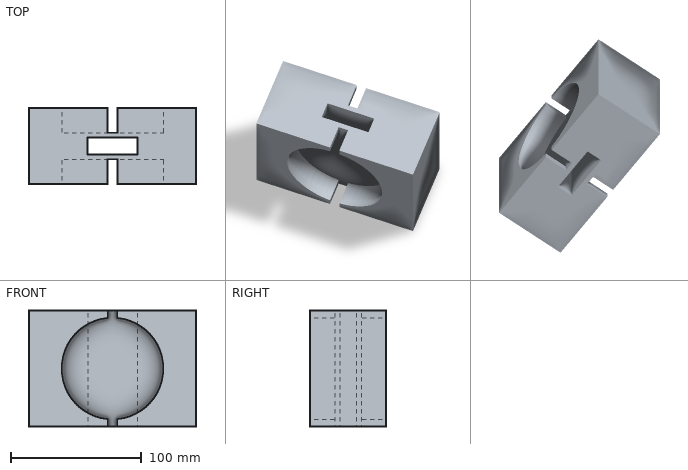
import cadquery as cq

length = 128.0
width = 58.42
height = 88.9

slot_width = 7.62
slot_depth = 19.05

window_length = 38.1
window_width = 12.7

pocket_diameter = 77.8
pocket_depth = slot_depth

half_width = width / 2
mid_height = height / 2


def make_block():
    return cq.Workplane("XY").box(length, width, height, centered=(True, True, False))


def make_window():
    return cq.Workplane("XY").rect(window_length, window_width).extrude(height)


def make_slot(side):
    """Full-height slot cut inward from the face on the given Y side (+1 or -1)."""
    slot_centre_y = side * (half_width - slot_depth / 2)
    return cq.Workplane("XY").center(0, slot_centre_y).rect(slot_width, slot_depth).extrude(height)


def make_pocket(side):
    """Round pocket cut inward from the face on the given Y side (+1 or -1)."""
    face_centre = cq.Vector(0, side * half_width, mid_height)
    inward = cq.Vector(0, -side, 0)
    cylinder = cq.Solid.makeCylinder(pocket_diameter / 2, pocket_depth, face_centre, inward)
    return cq.Workplane(obj=cylinder)


result = make_block().cut(make_window())
for side in (-1, 1):
    result = result.cut(make_slot(side))
    result = result.cut(make_pocket(side))